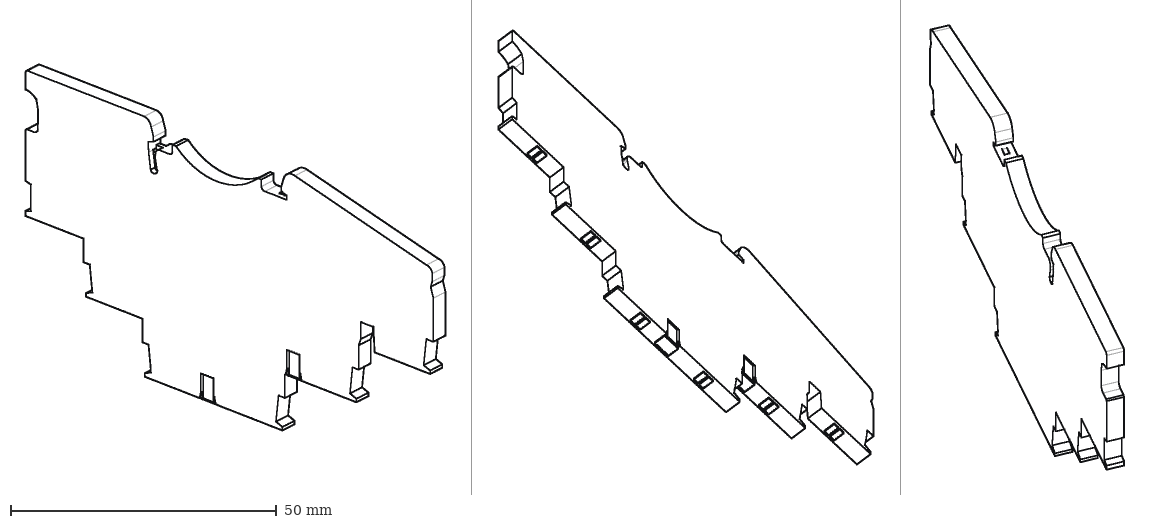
import cadquery as cq
import math

LENGTH = 102.0
THICKNESS = 3.5
TOP_Z = 54.7
MID_Y = THICKNESS / 2

TIER_HEIGHT = 12.0
LOW_Z = 0.0
MID_Z = LOW_Z + TIER_HEIGHT
HIGH_Z = MID_Z + TIER_HEIGHT
LOW_TIPS = (29.8, 64.25)
MID_TIPS = (15.1, 82.75)
HIGH_RIGHT_TIP = 101.2
LOW_WALLS = (29.25, 64.9)
MID_WALLS = (14.5, 83.3)
LIP_RISE = 0.75
LIP_REACH = 1.6
NECK_RISE = 1.35
NECK_TAPER = 0.65
SHOULDER_RISE = 7.05

SLOT_LEFT_X = 83.9
SLOT_TOP_RIGHT_X = 86.98
SLOT_MOUTH_RIGHT_X = 87.3
SLOT_TOP_Z = 29.25
SLOT_LEFT_SLOPE_Z = (24.15, 25.7)

DENT_BOTTOM_Z = 40.3
DENT = (101.35, 42.4)
RIGHT_CORNER_X = 101.75
DENT_TOP_Z = 43.7
RIGHT_CORNER_START_Z = 45.4
RIGHT_CORNER_MID = (101.3, 46.2)
SLOPE_LOW = (100.2, 46.65)
SLOPE_HIGH = (67.3, 54.6)

HOOK_Z = 50.1
HOOK_NOSE_Z = 51.2
HOOK_SHOULDER_Z = 53.1
HOOK_SETBACK = 0.6
LEFT_HOOK_X = 32.0
RIGHT_HOOK_X = 63.95
LEFT_HOOK_ROUND_MID = (30.7, 54.3)
LEFT_HOOK_ROUND_END_X = 29.6
RIGHT_HOOK_ROUND_MID = (65.6, 54.4)
UNDERCUT_X = 65.3
UNDERCUT_Z = 49.8

FLOOR_Z = 48.85
FLOOR_FILLET = 0.8
HORN_Z = 51.05
HORN_TIP = 0.9
LEFT_HORN_X = 36.75
RIGHT_HORN_X = 59.0
SCOOP_X = (LEFT_HORN_X + RIGHT_HORN_X) / 2
SCOOP_Z = 47.0

FLOOR_EDGE_X = 33.4
FLOOR_EDGE_MID = (32.65, 48.3)
SLOT_SIDE_X = 32.5
SLOT_SIDE_Z = (46.6, 47.4)
SLOT_END_RIGHT = (32.95, 44.3)
SLOT_END_MID = (32.2, 43.5)
SLOT_END_LEFT = (31.3, 44.0)
SLOT_THROAT = (30.8, 47.6)
SLOT_HEAD = (30.7, 49.7)

TOP_CORNER_RADIUS = 0.5
NOTCH_DEPTH = 3.1
NOTCH_TOP_Z = 50.6
NOTCH_TOP_MID = (1.6, 50.2)
NOTCH_TOP_END = (2.7, 49.4)
NOTCH_FLAT_TOP_Z = 47.4
NOTCH_BOTTOM_Z = 42.35
NOTCH_BOTTOM_RADIUS = 1.0
NOTCH_EDGE_CHAMFER = 0.28
LEFT_SHOULDER_Z = 31.4
LEFT_NECK_X = 1.3
LEFT_NECK_Z = (25.4, 31.05)
LEFT_LIP_RISE = 1.1

WEB_THICKNESS = 1.0
SLOT_WEB_LOW_Z = 46.2
LIP_X = 31.6
LIP_BOTTOM_Z = 47.85
RAMP_X = (62.4, 64.0)
RAMP_DEPTH = 0.5
EMBED = 0.5

RELIEF = 0.32
RELIEF_SETBACK = 0.5
MARK_CENTRES = [
    (8.95, HIGH_Z),
    (92.8, HIGH_Z),
    (24.1, MID_Z),
    (74.35, MID_Z),
    (38.1, LOW_Z),
    (55.9, LOW_Z),
]
MARK_WIDTH = 1.2
MARK_GAP = 0.35

POCKET_CENTRES = [(45.5, LOW_Z), (67.0, MID_Z)]
POCKET_WIDTH = 3.3
POCKET_FLOOR_WIDTH = 2.5
POCKET_HEIGHT = 5.3
POCKET_DEPTH = 0.3
FLARE_WIDTH = 3.9
FLARE_HEIGHT = 1.4
FLARE_DEPTH = POCKET_DEPTH / 2


def foot_points(tip_x, wall_x, face_z, side):
    """Foot tip up to the riser wall; side is -1 for a left foot and +1 for a right foot."""
    neck_x = tip_x - side * LIP_REACH
    return [
        (tip_x, face_z),
        (tip_x, face_z + LIP_RISE),
        (neck_x, face_z + NECK_RISE),
        (neck_x + side * NECK_TAPER, face_z + SHOULDER_RISE),
        (wall_x, face_z + SHOULDER_RISE),
    ]


def add_lines(profile, points):
    for point in points:
        profile = profile.lineTo(*point)
    return profile


def add_right_feet(profile):
    """Right side from the low foot tip up to the shoulder of the high foot."""
    profile = add_lines(profile, foot_points(LOW_TIPS[1], LOW_WALLS[1], LOW_Z, 1)[1:])
    profile = profile.lineTo(LOW_WALLS[1], MID_Z)
    profile = add_lines(profile, foot_points(MID_TIPS[1], MID_WALLS[1], MID_Z, 1))
    slot = [
        (MID_WALLS[1], SLOT_LEFT_SLOPE_Z[0]),
        (SLOT_LEFT_X, SLOT_LEFT_SLOPE_Z[1]),
        (SLOT_LEFT_X, SLOT_TOP_Z),
        (SLOT_TOP_RIGHT_X, SLOT_TOP_Z),
        (SLOT_MOUTH_RIGHT_X, HIGH_Z),
    ]
    profile = add_lines(profile, slot)
    return add_lines(profile, foot_points(HIGH_RIGHT_TIP, LENGTH, HIGH_Z, 1))


def add_right_end(profile):
    """Right end, sloping top edge and right hook, down to the floor."""
    return (
        profile.lineTo(LENGTH, DENT_BOTTOM_Z)
        .lineTo(*DENT)
        .lineTo(RIGHT_CORNER_X, DENT_TOP_Z)
        .lineTo(RIGHT_CORNER_X, RIGHT_CORNER_START_Z)
        .threePointArc(RIGHT_CORNER_MID, SLOPE_LOW)
        .lineTo(*SLOPE_HIGH)
        .threePointArc(RIGHT_HOOK_ROUND_MID, (RIGHT_HOOK_X + HOOK_SETBACK, HOOK_SHOULDER_Z))
        .tangentArcPoint((RIGHT_HOOK_X, HOOK_NOSE_Z), relative=False)
        .lineTo(RIGHT_HOOK_X, HOOK_Z)
        .lineTo(UNDERCUT_X, UNDERCUT_Z)
        .lineTo(UNDERCUT_X, FLOOR_Z)
    )


def add_scoop(profile):
    """Floor, right horn, scoop, left horn and floor again, with rounds where horns meet the floor."""
    fillet_top_z = FLOOR_Z + FLOOR_FILLET
    bulge = FLOOR_FILLET * (1 - math.sqrt(0.5))
    return (
        profile.lineTo(RIGHT_HORN_X + FLOOR_FILLET, FLOOR_Z)
        .threePointArc((RIGHT_HORN_X + bulge, FLOOR_Z + bulge), (RIGHT_HORN_X, fillet_top_z))
        .lineTo(RIGHT_HORN_X, HORN_Z)
        .lineTo(RIGHT_HORN_X - HORN_TIP, HORN_Z)
        .threePointArc((SCOOP_X, SCOOP_Z), (LEFT_HORN_X + HORN_TIP, HORN_Z))
        .lineTo(LEFT_HORN_X, HORN_Z)
        .lineTo(LEFT_HORN_X, fillet_top_z)
        .threePointArc((LEFT_HORN_X - bulge, FLOOR_Z + bulge), (LEFT_HORN_X - FLOOR_FILLET, FLOOR_Z))
        .lineTo(FLOOR_EDGE_X, FLOOR_Z)
    )


def add_spring_slot(profile):
    """Rounded floor edge, spring slot and left hook, up to the top edge."""
    return (
        profile.threePointArc(FLOOR_EDGE_MID, (SLOT_SIDE_X, SLOT_SIDE_Z[1]))
        .lineTo(SLOT_SIDE_X, SLOT_SIDE_Z[0])
        .lineTo(*SLOT_END_RIGHT)
        .threePointArc(SLOT_END_MID, SLOT_END_LEFT)
        .lineTo(*SLOT_THROAT)
        .lineTo(*SLOT_HEAD)
        .lineTo(LEFT_HOOK_X, HOOK_Z)
        .lineTo(LEFT_HOOK_X, HOOK_NOSE_Z)
        .lineTo(LEFT_HOOK_X - HOOK_SETBACK, HOOK_SHOULDER_Z)
        .threePointArc(LEFT_HOOK_ROUND_MID, (LEFT_HOOK_ROUND_END_X, TOP_Z))
    )


def add_left_end(profile):
    """Top edge, left corner, rounded notch and the high left foot."""
    corner_bulge = TOP_CORNER_RADIUS * (1 - math.sqrt(0.5))
    notch_bulge = NOTCH_BOTTOM_RADIUS * (1 - math.sqrt(0.5))
    return (
        profile.lineTo(TOP_CORNER_RADIUS, TOP_Z)
        .threePointArc((corner_bulge, TOP_Z - corner_bulge), (0, TOP_Z - TOP_CORNER_RADIUS))
        .lineTo(0, NOTCH_TOP_Z)
        .threePointArc(NOTCH_TOP_MID, NOTCH_TOP_END)
        .lineTo(NOTCH_DEPTH, NOTCH_FLAT_TOP_Z)
        .lineTo(NOTCH_DEPTH, NOTCH_BOTTOM_Z + NOTCH_BOTTOM_RADIUS)
        .threePointArc(
            (NOTCH_DEPTH - notch_bulge, NOTCH_BOTTOM_Z + notch_bulge),
            (NOTCH_DEPTH - NOTCH_BOTTOM_RADIUS, NOTCH_BOTTOM_Z),
        )
        .lineTo(NOTCH_EDGE_CHAMFER, NOTCH_BOTTOM_Z)
        .lineTo(0, NOTCH_BOTTOM_Z - NOTCH_EDGE_CHAMFER)
        .lineTo(0, LEFT_SHOULDER_Z)
        .lineTo(LEFT_NECK_X, LEFT_NECK_Z[1])
        .lineTo(LEFT_NECK_X, LEFT_NECK_Z[0])
        .lineTo(0, HIGH_Z + LEFT_LIP_RISE)
        .lineTo(0, HIGH_Z)
    )


def add_left_feet(profile):
    """Left side from the high foot face down to the low foot tip."""
    profile = profile.lineTo(MID_WALLS[0], HIGH_Z)
    profile = add_lines(profile, reversed(foot_points(MID_TIPS[0], MID_WALLS[0], MID_Z, -1)))
    profile = profile.lineTo(LOW_WALLS[0], MID_Z)
    return add_lines(profile, reversed(foot_points(LOW_TIPS[0], LOW_WALLS[0], LOW_Z, -1)))


def make_plate():
    """Plate of constant thickness, its side profile traced counter-clockwise from the low right foot."""
    profile = cq.Workplane("XZ").moveTo(LOW_TIPS[1], LOW_Z)
    profile = add_right_feet(profile)
    profile = add_right_end(profile)
    profile = add_scoop(profile)
    profile = add_spring_slot(profile)
    profile = add_left_end(profile)
    profile = add_left_feet(profile)
    return profile.close().extrude(-THICKNESS)


def mid_web(points):
    """Thin web centred in the thickness."""
    web = cq.Workplane("XZ", origin=(0, MID_Y, 0)).polyline(points).close()
    return web.extrude(WEB_THICKNESS / 2, both=True)


def rectangle(x0, x1, z0, z1):
    return [(x0, z0), (x1, z0), (x1, z1), (x0, z1)]


def make_slot_web():
    """Web closing the lower part of the spring slot below a diagonal edge."""
    slot_end_z = SLOT_END_MID[1] - EMBED
    return mid_web(
        [
            SLOT_THROAT,
            (SLOT_SIDE_X, SLOT_WEB_LOW_Z),
            (SLOT_END_RIGHT[0] + EMBED, SLOT_WEB_LOW_Z),
            (SLOT_END_RIGHT[0], slot_end_z),
            (SLOT_END_LEFT[0], slot_end_z),
            (SLOT_THROAT[0] - EMBED, SLOT_SIDE_Z[0]),
        ]
    )


def make_floor_recess():
    """Narrow recess in the floor beside the right hook, ramping up towards the hook."""
    return mid_web([(RAMP_X[0], FLOOR_Z - RAMP_DEPTH), (RAMP_X[1], FLOOR_Z), (RAMP_X[0], FLOOR_Z)])


def hanging_block(centre_x, width, face_z):
    """Low block under a foot face, set back from the front and back of the plate."""
    height = RELIEF + EMBED
    block = cq.Workplane("XY").box(width, THICKNESS - 2 * RELIEF_SETBACK, height)
    return block.translate((centre_x, MID_Y, face_z - RELIEF + height / 2))


def make_mark(centre_x, face_z):
    """Pair of marks side by side."""
    offset = (MARK_WIDTH + MARK_GAP) / 2
    left = hanging_block(centre_x - offset, MARK_WIDTH, face_z)
    right = hanging_block(centre_x + offset, MARK_WIDTH, face_z)
    return left.union(right)


def make_pocket(centre_x, face_z):
    """Front pocket open at the foot face, with sloping sides and a shallow flare at its mouth."""
    half_mouth = POCKET_WIDTH / 2
    half_floor = POCKET_FLOOR_WIDTH / 2
    half_flare = FLARE_WIDTH / 2
    body = (
        cq.Workplane("XY", origin=(centre_x, 0, face_z - RELIEF))
        .moveTo(-half_mouth, 0)
        .lineTo(half_mouth, 0)
        .lineTo(half_floor, POCKET_DEPTH)
        .lineTo(-half_floor, POCKET_DEPTH)
        .close()
        .extrude(POCKET_HEIGHT + RELIEF)
    )
    flare = (
        cq.Workplane("XZ", origin=(centre_x, 0, face_z))
        .moveTo(-half_flare, 0)
        .lineTo(half_flare, 0)
        .lineTo(half_mouth, FLARE_HEIGHT)
        .lineTo(-half_mouth, FLARE_HEIGHT)
        .close()
        .extrude(-FLARE_DEPTH)
    )
    return body.union(flare)


result = make_plate()
result = result.union(mid_web(rectangle(LIP_X, FLOOR_EDGE_X, LIP_BOTTOM_Z, FLOOR_Z)))
result = result.union(make_slot_web())
result = result.cut(make_floor_recess())
for mark_x, mark_z in MARK_CENTRES:
    result = result.union(make_mark(mark_x, mark_z))
for pocket_x, pocket_z in POCKET_CENTRES:
    result = result.union(hanging_block(pocket_x, FLARE_WIDTH, pocket_z))
    result = result.cut(make_pocket(pocket_x, pocket_z))